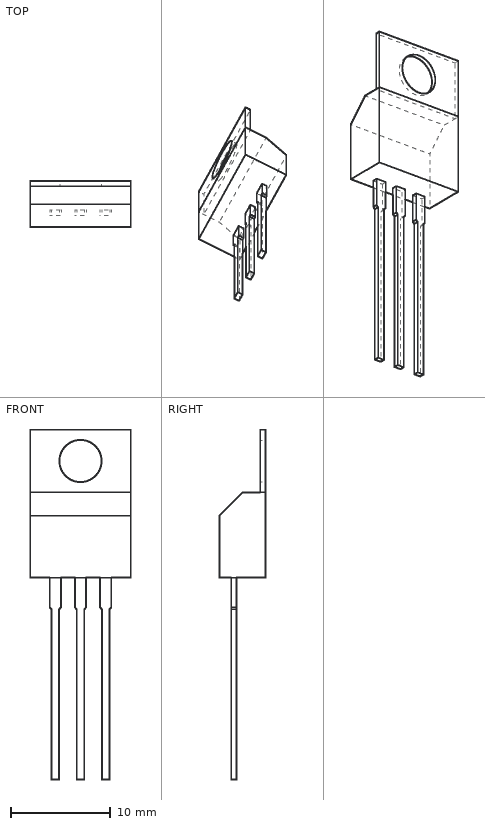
import cadquery as cq

overall_height = 35.3
package_width = 10.16

housing_depth = 4.65
housing_height = 8.59
bevel_size = housing_depth / 2

tab_height = 6.35
tab_thickness = 0.55
tab_hole_diameter = 4.23
tab_hole_height = housing_height + tab_height / 2

lead_count = 3
lead_pitch = 2.54
lead_length = overall_height - housing_height - tab_height
lead_thickness = 0.55
lead_back_offset = 2.92
shoulder_width = 1.15
shoulder_length = 3.0
taper_length = 0.2
leg_width = 0.77


def make_housing():
    """Block with a large bevel along its upper front edge."""
    return (
        cq.Workplane("YZ")
        .moveTo(0, 0)
        .lineTo(-housing_depth, 0)
        .lineTo(-housing_depth, housing_height - bevel_size)
        .lineTo(-housing_depth + bevel_size, housing_height)
        .lineTo(0, housing_height)
        .close()
        .extrude(package_width / 2, both=True)
    )


def make_tab():
    """Flat plate on top of the housing, with a central mounting hole."""
    plate = cq.Workplane("XY").box(
        package_width, tab_thickness, tab_height, centered=(True, False, False)
    ).translate((0, -tab_thickness, housing_height))
    hole = (
        cq.Workplane("XZ")
        .center(0, tab_hole_height)
        .circle(tab_hole_diameter / 2)
        .extrude(tab_thickness)
    )
    return plate.cut(hole)


def make_lead(center_x):
    """Flat lead with a wide shoulder that tapers to a narrow leg."""
    taper_end = shoulder_length + taper_length
    return (
        cq.Workplane("XZ", origin=(center_x, -lead_back_offset, 0))
        .moveTo(-shoulder_width / 2, 0)
        .lineTo(-shoulder_width / 2, -shoulder_length)
        .lineTo(-leg_width / 2, -taper_end)
        .lineTo(-leg_width / 2, -lead_length)
        .lineTo(leg_width / 2, -lead_length)
        .lineTo(leg_width / 2, -taper_end)
        .lineTo(shoulder_width / 2, -shoulder_length)
        .lineTo(shoulder_width / 2, 0)
        .close()
        .extrude(lead_thickness)
    )


housing = make_housing()
tab = make_tab()
leads = []
for index in range(lead_count):
    lead_x = (index - (lead_count - 1) / 2) * lead_pitch
    leads.append(make_lead(lead_x))

result = cq.Compound.makeCompound([housing.val(), tab.val(), *[lead.val() for lead in leads]])